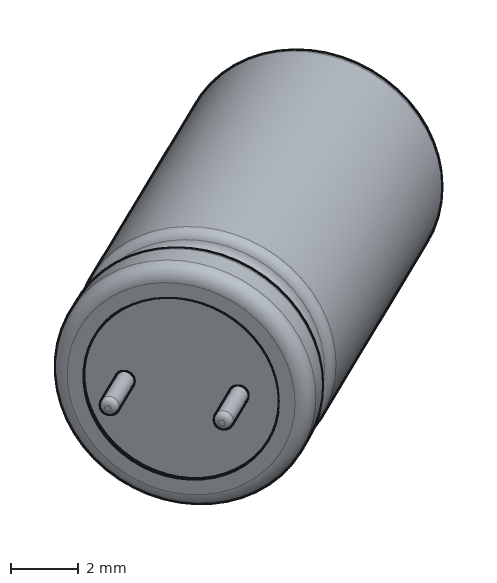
import cadquery as cq
import math

can_radius = 4.0
can_length = 15.0
rim_fillet = 0.5

groove_center_y = 2.0
groove_depth = 0.5
groove_arc_radius = 0.4

seal_radius = 3.0
seal_recess = 0.1

lead_pitch = 3.5
lead_radius = 0.3
lead_length = 1.8
lead_tip_fillet = 0.2


def make_can():
    """Revolve the can half-profile (radius along X, length along Y) around the Y axis."""
    rim_radius = can_radius - rim_fillet
    rim_mid = rim_fillet * (1 - math.sqrt(0.5))

    floor_radius = can_radius - groove_depth
    floor_center_x = floor_radius + groove_arc_radius
    shoulder_center_x = can_radius - groove_arc_radius
    center_rise = floor_center_x - shoulder_center_x
    shoulder_offset = math.sqrt((2 * groove_arc_radius) ** 2 - center_rise**2)
    tangent_x = (floor_center_x + shoulder_center_x) / 2
    tangent_offset = shoulder_offset / 2

    shoulder_angle = math.atan2(tangent_offset, tangent_x - shoulder_center_x) / 2
    shoulder_mid_x = shoulder_center_x + groove_arc_radius * math.cos(shoulder_angle)
    shoulder_mid_offset = shoulder_offset - groove_arc_radius * math.sin(shoulder_angle)

    return (
        cq.Workplane("XY")
        .moveTo(0, 0)
        .lineTo(rim_radius, 0)
        .threePointArc((can_radius - rim_mid, rim_mid), (can_radius, rim_fillet))
        .lineTo(can_radius, groove_center_y - shoulder_offset)
        .threePointArc(
            (shoulder_mid_x, groove_center_y - shoulder_mid_offset),
            (tangent_x, groove_center_y - tangent_offset),
        )
        .threePointArc(
            (floor_radius, groove_center_y),
            (tangent_x, groove_center_y + tangent_offset),
        )
        .threePointArc(
            (shoulder_mid_x, groove_center_y + shoulder_mid_offset),
            (can_radius, groove_center_y + shoulder_offset),
        )
        .lineTo(can_radius, can_length - rim_fillet)
        .threePointArc(
            (can_radius - rim_mid, can_length - rim_mid),
            (rim_radius, can_length),
        )
        .lineTo(0, can_length)
        .close()
        .revolve(360, (0, 0, 0), (0, 1, 0))
    )


def make_seal_recess():
    """Shallow disc that sinks the seal face below the rim."""
    return cq.Workplane("XZ").circle(seal_radius).extrude(-seal_recess)


def make_lead(x):
    """Round lead from the seal face to its rounded free end."""
    return (
        cq.Workplane("XZ", origin=(x, seal_recess, 0))
        .circle(lead_radius)
        .extrude(seal_recess + lead_length)
        .faces("<Y")
        .edges()
        .fillet(lead_tip_fillet)
    )


result = make_can().cut(make_seal_recess())
for lead_x in (-lead_pitch / 2, lead_pitch / 2):
    result = result.union(make_lead(lead_x))